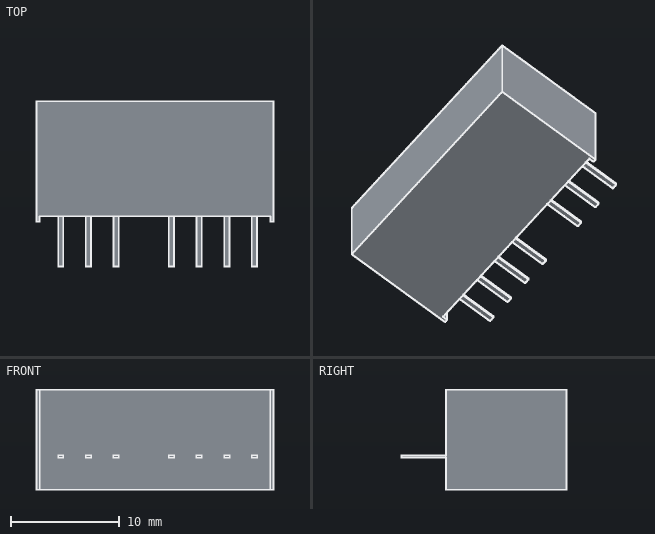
import cadquery as cq

case_width = 21.8
case_height = 9.2
case_depth = 11.1
lip_length = 0.5
lip_thickness = 0.3

total_depth = 15.2
pin_width = 0.5
pin_thickness = 0.25
pin_height = 3.05
first_pin_offset = 2.25
pin_row_span = 17.79
pitch_count = 7
empty_position = 3

pin_pitch = pin_row_span / pitch_count
pin_length = total_depth - case_depth + lip_length


def make_case():
    """Block with its front face recessed between the two end lips."""
    block = cq.Workplane("XY").box(case_width, case_depth, case_height, centered=False)
    recess = (
        cq.Workplane("XY")
        .box(case_width - 2 * lip_thickness, lip_length, case_height, centered=False)
        .translate((lip_thickness, 0, 0))
    )
    return block.cut(recess)


def make_pin(position):
    """Flat pin running forward from the recessed front face."""
    centre_x = first_pin_offset + position * pin_pitch
    return (
        cq.Workplane("XZ", origin=(centre_x, lip_length, pin_height))
        .rect(pin_width, pin_thickness)
        .extrude(pin_length)
    )


result = make_case()
for position in range(pitch_count + 1):
    if position != empty_position:
        result = result.union(make_pin(position))